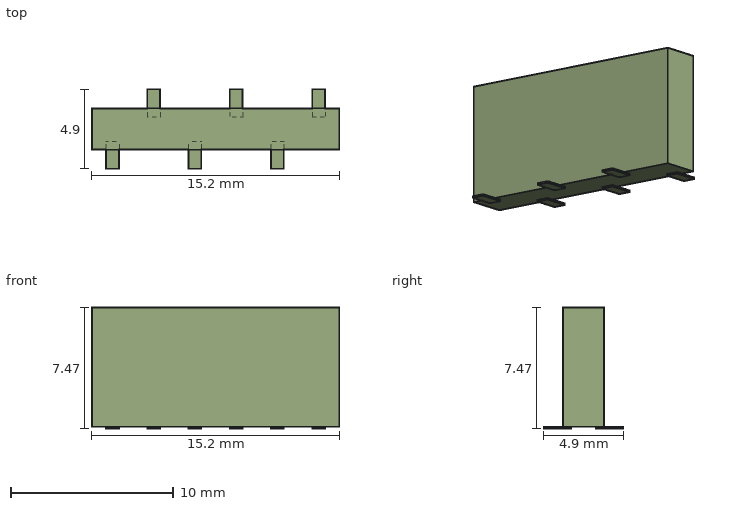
import cadquery as cq

body_length = 15.24
overall_width = 4.9
overall_height = 7.47

lead_count = 6
lead_pitch = body_length / lead_count
lead_width = 0.81
lead_length = 1.7
lead_thickness = 0.1

body_width = lead_pitch
body_height = overall_height - lead_thickness


def make_body():
    """Plain block with its underside at the top of the leads."""
    return (
        cq.Workplane("XY")
        .workplane(offset=lead_thickness)
        .rect(body_length, body_width)
        .extrude(body_height)
    )


def make_lead(center_x, side):
    """Flat strip under the body, sticking out toward side (-1 is -Y, +1 is +Y)."""
    center_y = side * (overall_width - lead_length) / 2
    return (
        cq.Workplane("XY")
        .center(center_x, center_y)
        .rect(lead_width, lead_length)
        .extrude(lead_thickness)
    )


body = make_body()

leads = []
for index in range(lead_count):
    lead_x = (index - (lead_count - 1) / 2) * lead_pitch
    lead_side = -1 if index % 2 == 0 else 1
    leads.append(make_lead(lead_x, lead_side).val())

result = cq.Compound.makeCompound([body.val(), *leads])